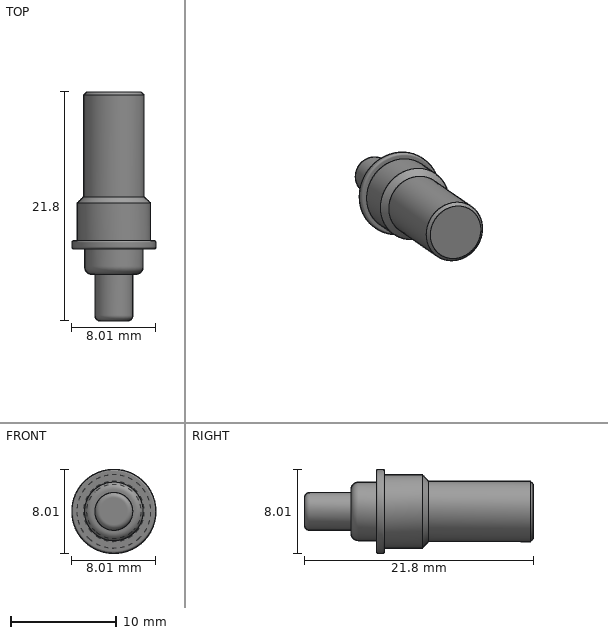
import cadquery as cq


pin_diameter = 3.6
collar_diameter = 5.57
flange_diameter = 8.01
body_diameter = 7.0
sleeve_diameter = 5.76

total_length = 21.76
pin_length = 4.42
collar_length = 2.41
flange_thickness = 0.8
body_length = 3.57
shoulder_length = 0.6

pin_tip_fillet = 0.5
collar_fillet = 0.72
flange_edge_fillet = 0.2
sleeve_end_chamfer = 0.3

collar_start = pin_length
flange_start = collar_start + collar_length
body_start = flange_start + flange_thickness
shoulder_start = body_start + body_length
sleeve_start = shoulder_start + shoulder_length
sleeve_length = total_length - sleeve_start


def cylinder(start, length, diameter):
    """Cylinder along +Y whose front face lies at y = start."""
    plane = cq.Plane(origin=(0, start, 0), xDir=(1, 0, 0), normal=(0, 1, 0))
    return cq.Workplane(plane).circle(diameter / 2).extrude(length)


def make_pin():
    """Slim contact pin with a rounded tip."""
    return cylinder(0, pin_length, pin_diameter).faces("<Y").edges().fillet(pin_tip_fillet)


def make_collar():
    """Collar with a rounded front edge around the pin."""
    return cylinder(collar_start, collar_length, collar_diameter).faces("<Y").edges().fillet(collar_fillet)


def make_flange():
    """Thin flange with both rims rounded."""
    return cylinder(flange_start, flange_thickness, flange_diameter).edges("%CIRCLE").fillet(flange_edge_fillet)


def make_shoulder():
    """Cone that narrows from the body to the sleeve."""
    return cq.Workplane(
        cq.Solid.makeCone(
            body_diameter / 2,
            sleeve_diameter / 2,
            shoulder_length,
            pnt=cq.Vector(0, shoulder_start, 0),
            dir=cq.Vector(0, 1, 0),
        )
    )


def make_sleeve():
    """Long rear sleeve with a chamfered end."""
    return cylinder(sleeve_start, sleeve_length, sleeve_diameter).faces(">Y").edges().chamfer(sleeve_end_chamfer)


body = cylinder(body_start, body_length, body_diameter)

result = (
    make_pin()
    .union(make_collar())
    .union(make_flange())
    .union(body)
    .union(make_shoulder())
    .union(make_sleeve())
)